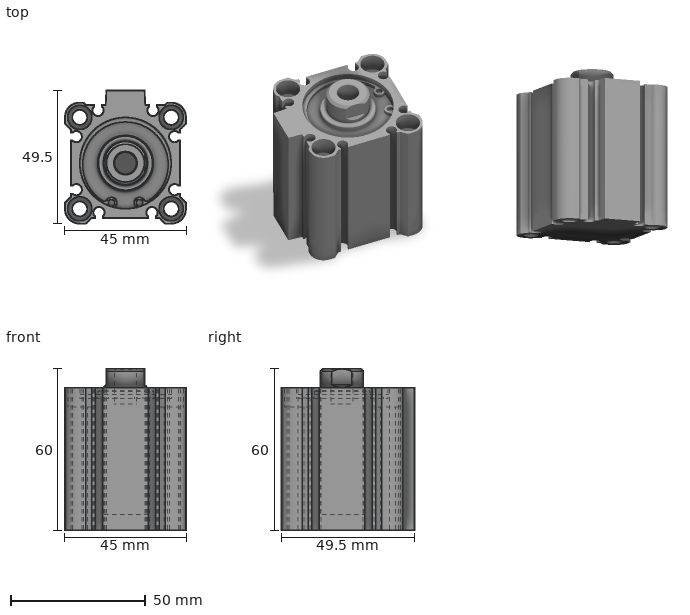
import cadquery as cq
import math

TOTAL_HEIGHT = 60.0
BODY_HEIGHT = 53.0

BODY_HALF = 22.5
BOLT_OFFSET = 17.0
SIDE_WALL = 20.3
FRONT_WALL = 20.4
BACK_WALL = 21.6
COLUMN_EDGE = 14.7
BACK_COLUMN_EDGE = 15.6
PORT_BLOCK_FACE = 27.0
PORT_BLOCK_HALF_TOP = 7.15
PORT_BLOCK_HALF_ROOT = 7.4

SLOT_RADIUS = 2.05
SLOT_NECK = 2.9
SLOT_SPACING = 9.85
SLOT_DEPTH = 2.05
BACK_SLOT_SPACING = 10.2

BOLT_HOLE_DIAMETER = 5.5
COUNTERBORE_DIAMETER = 9.0
COUNTERBORE_DEPTH = 7.0

RECESS_RADIUS = 17.0
RECESS_DEPTH = 4.0
COLLAR_RADIUS = 10.3
COLLAR_DROP = 1.0
COLLAR_FILLET = 1.1
COLLAR_CHAMFER = 0.3
BORE_CHAMFER = 0.25

RING_THICKNESS = 1.5
RING_INNER_RADIUS = 15.9
RING_INNER_SHIFT = 0.6
LUG_X = 5.2
LUG_Y = -14.75
LUG_RADIUS = 2.05
LUG_HOLE_RADIUS = 1.25
LUG_BLEND = 1.2

ROD_RADIUS = 8.0
ROD_BOTTOM = 6.0
ROD_CHAMFER = 0.95
FLAT_HALF = 7.1
FLAT_LENGTH = 6.0
FLAT_CLEARANCE = 0.6
ROD_HOLE_RADIUS = 4.1
ROD_HOLE_DEPTH = 13.0
ROD_HOLE_CHAMFER = 0.25

RECESS_FLOOR = BODY_HEIGHT - RECESS_DEPTH


def housing_blank():
    """Extruded outline: four rounded corner columns, sunken walls and the port block."""
    arc_reach = BOLT_OFFSET + (BODY_HALF - BOLT_OFFSET) * math.sqrt(0.5)
    front_drop = BODY_HALF - FRONT_WALL
    side_drop = BODY_HALF - SIDE_WALL
    back_drop = BODY_HALF - BACK_WALL
    return (
        cq.Workplane("XY")
        .moveTo(0, -FRONT_WALL)
        .lineTo(COLUMN_EDGE - front_drop, -FRONT_WALL)
        .lineTo(COLUMN_EDGE, -BODY_HALF)
        .lineTo(BOLT_OFFSET, -BODY_HALF)
        .threePointArc((arc_reach, -arc_reach), (BODY_HALF, -BOLT_OFFSET))
        .lineTo(BODY_HALF, -COLUMN_EDGE)
        .lineTo(SIDE_WALL, -COLUMN_EDGE + side_drop)
        .lineTo(SIDE_WALL, COLUMN_EDGE - side_drop)
        .lineTo(BODY_HALF, COLUMN_EDGE)
        .lineTo(BODY_HALF, BOLT_OFFSET)
        .threePointArc((arc_reach, arc_reach), (BOLT_OFFSET, BODY_HALF))
        .lineTo(BACK_COLUMN_EDGE, BODY_HALF)
        .lineTo(BACK_COLUMN_EDGE - back_drop, BACK_WALL)
        .lineTo(PORT_BLOCK_HALF_ROOT, BACK_WALL)
        .lineTo(PORT_BLOCK_HALF_TOP, PORT_BLOCK_FACE)
        .lineTo(0, PORT_BLOCK_FACE)
        .mirrorY()
        .extrude(BODY_HEIGHT)
    )


def sensor_slot(wall, spacing, turn):
    """Full-height slot in a wall facing +X, turned about Z onto its own wall."""
    axis_x = wall - SLOT_DEPTH
    channel = cq.Workplane("XY").center(axis_x, spacing).circle(SLOT_RADIUS).extrude(BODY_HEIGHT)
    neck = (
        cq.Workplane("XY")
        .center(axis_x + SLOT_DEPTH / 2, spacing)
        .rect(SLOT_DEPTH, SLOT_NECK)
        .extrude(BODY_HEIGHT)
    )
    return channel.union(neck).rotate((0, 0, 0), (0, 0, 1), turn)


def rod_end_cut():
    """Turned cut: the recess around a filleted collar, and the blind bore for the rod."""
    collar_top = BODY_HEIGHT - COLLAR_DROP
    fillet_inset = COLLAR_FILLET * (1 - math.sqrt(0.5))
    return (
        cq.Workplane("XZ")
        .moveTo(0, ROD_BOTTOM)
        .lineTo(ROD_RADIUS, ROD_BOTTOM)
        .lineTo(ROD_RADIUS, collar_top - BORE_CHAMFER)
        .lineTo(ROD_RADIUS + BORE_CHAMFER, collar_top)
        .lineTo(COLLAR_RADIUS - COLLAR_CHAMFER, collar_top)
        .lineTo(COLLAR_RADIUS, collar_top - COLLAR_CHAMFER)
        .lineTo(COLLAR_RADIUS, RECESS_FLOOR + COLLAR_FILLET)
        .threePointArc(
            (COLLAR_RADIUS + fillet_inset, RECESS_FLOOR + fillet_inset),
            (COLLAR_RADIUS + COLLAR_FILLET, RECESS_FLOOR),
        )
        .lineTo(RECESS_RADIUS, RECESS_FLOOR)
        .lineTo(RECESS_RADIUS, BODY_HEIGHT)
        .lineTo(0, BODY_HEIGHT)
        .close()
        .revolve(360, (0, 0), (0, 1))
    )


def make_housing():
    body = housing_blank()
    wall_slots = [
        (SIDE_WALL, SLOT_SPACING, 0),
        (BACK_WALL, BACK_SLOT_SPACING, 90),
        (SIDE_WALL, SLOT_SPACING, 180),
        (FRONT_WALL, SLOT_SPACING, 270),
    ]
    for wall, spacing, turn in wall_slots:
        for side in (-1, 1):
            body = body.cut(sensor_slot(wall, side * spacing, turn))
    body = (
        body.faces(">Z")
        .workplane(origin=(0, 0, BODY_HEIGHT))
        .rect(2 * BOLT_OFFSET, 2 * BOLT_OFFSET, forConstruction=True)
        .vertices()
        .cboreHole(BOLT_HOLE_DIAMETER, COUNTERBORE_DIAMETER, COUNTERBORE_DEPTH)
    )
    return body.cut(rod_end_cut())


def make_retaining_ring():
    """Open ring on the recess floor, with a drilled lug at each end."""
    floor = cq.Workplane("XY", origin=(0, 0, RECESS_FLOOR))
    disc = floor.circle(RECESS_RADIUS).extrude(RING_THICKNESS)
    opening = floor.center(0, -RING_INNER_SHIFT).circle(RING_INNER_RADIUS).extrude(RING_THICKNESS)
    gap = (
        floor.center(0, -RECESS_RADIUS / 2)
        .rect(2 * LUG_X, RECESS_RADIUS)
        .extrude(RING_THICKNESS)
    )
    lug_points = [(-LUG_X, LUG_Y), (LUG_X, LUG_Y)]
    lugs = floor.pushPoints(lug_points).circle(LUG_RADIUS).extrude(RING_THICKNESS)
    lug_holes = floor.pushPoints(lug_points).circle(LUG_HOLE_RADIUS).extrude(RING_THICKNESS)
    ring = disc.cut(opening).cut(gap).union(lugs.intersect(disc))
    inner_corners = cq.selectors.BoxSelector(
        (-LUG_X - 2 * LUG_RADIUS, LUG_Y - LUG_RADIUS / 2, RECESS_FLOOR),
        (LUG_X + 2 * LUG_RADIUS, LUG_Y + LUG_RADIUS, BODY_HEIGHT),
    )
    ring = ring.edges("|Z").edges(inner_corners).fillet(LUG_BLEND)
    return ring.cut(lug_holes)


def wrench_flat(turn):
    """Cut for one flat, ending in a 45 degree ramp down to the rod surface."""
    flat_bottom = TOTAL_HEIGHT - FLAT_LENGTH
    outside = ROD_RADIUS + FLAT_CLEARANCE
    ramp = outside - FLAT_HALF
    return (
        cq.Workplane("XZ")
        .moveTo(FLAT_HALF, TOTAL_HEIGHT)
        .lineTo(FLAT_HALF, flat_bottom)
        .lineTo(outside, flat_bottom - ramp)
        .lineTo(outside, TOTAL_HEIGHT)
        .close()
        .extrude(ROD_RADIUS, both=True)
        .rotate((0, 0, 0), (0, 0, 1), turn)
    )


def make_rod():
    rod = (
        cq.Workplane("XY", origin=(0, 0, ROD_BOTTOM))
        .circle(ROD_RADIUS)
        .extrude(TOTAL_HEIGHT - ROD_BOTTOM)
        .faces(">Z")
        .chamfer(ROD_CHAMFER)
    )
    hole = (
        cq.Workplane("XY", origin=(0, 0, TOTAL_HEIGHT))
        .circle(ROD_HOLE_RADIUS)
        .extrude(-ROD_HOLE_DEPTH)
    )
    rod = rod.cut(hole)
    rod = rod.faces(">Z").edges(cq.selectors.RadiusNthSelector(0)).chamfer(ROD_HOLE_CHAMFER)
    for turn in (0, 180):
        rod = rod.cut(wrench_flat(turn))
    return rod


housing = make_housing()
retaining_ring = make_retaining_ring()
rod = make_rod()

bodies = [housing, retaining_ring, rod]
result = cq.Compound.makeCompound([body.solids().val() for body in bodies])